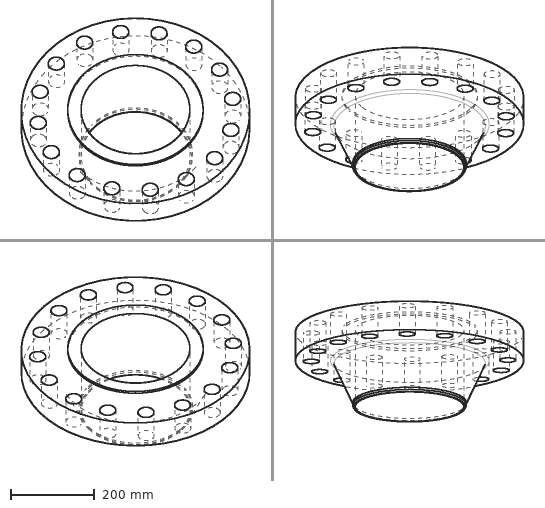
import cadquery as cq

flange_diameter = 546.0
flange_thickness = 71.0

face_diameter = 324.0
face_height = 5.5

total_height = 190.5
neck_root_diameter = 367.0
neck_end_diameter = 272.0
neck_end_height = 10.0
root_fillet = 10.0
end_chamfer_width = 3.0
end_chamfer_height = 4.5

bore_diameter = 260.0
bolt_circle_diameter = 469.5
bolt_hole_diameter = 38.0
bolt_count = 16

flange_bottom = total_height - face_height - flange_thickness


def disc(diameter, bottom, height):
    """Solid cylinder on the Z axis."""
    return cq.Workplane("XY").workplane(offset=bottom).circle(diameter / 2).extrude(height)


def neck():
    """Tapered hub ending in a short straight land with a bevelled weld edge."""
    end_radius = neck_end_diameter / 2
    return (
        cq.Workplane("XZ")
        .lineTo(end_radius - end_chamfer_width, 0)
        .lineTo(end_radius, end_chamfer_height)
        .lineTo(end_radius, neck_end_height)
        .lineTo(neck_root_diameter / 2, flange_bottom)
        .lineTo(0, flange_bottom)
        .close()
        .revolve(360, (0, 0), (0, 1))
    )


body = disc(flange_diameter, flange_bottom, flange_thickness).union(neck())

neck_root = cq.selectors.RadiusNthSelector(-2)
body = body.edges("%CIRCLE").edges(neck_root).fillet(root_fillet)

body = body.union(disc(face_diameter, total_height - face_height, face_height))
body = body.cut(disc(bore_diameter, 0, total_height))

bolt_holes = (
    cq.Workplane("XY")
    .workplane(offset=flange_bottom)
    .polarArray(bolt_circle_diameter / 2, 0, 360, bolt_count)
    .circle(bolt_hole_diameter / 2)
    .extrude(flange_thickness)
)

result = body.cut(bolt_holes)